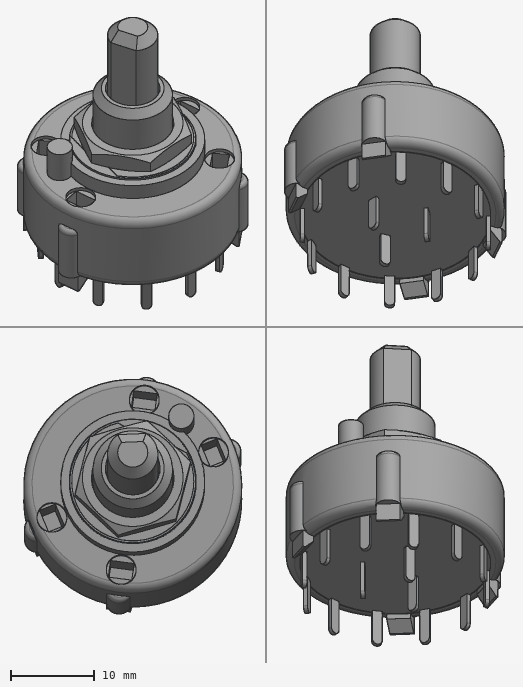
import cadquery as cq

HOUSING_BOTTOM = 4.75
HOUSING_TOP = 15.0
COLLAR_TOP = 17.0
WASHER_TOP = 17.18
LOCK_PLATE_TOP = 17.25
NUT_TOP = 19.55
BUSHING_TOP = 24.98
SHAFT_TOP = 34.5

HOUSING_RADIUS = 13.0
HOUSING_FILLET = 1.0
COLLAR_RADIUS = 8.6
BASE_PLATE_RADIUS = 11.4
BASE_PLATE_THICKNESS = 0.1

WASHER_RADIUS = 15.0 / 2
WASHER_RECESS_RADIUS = 15.15 / 2
WASHER_RECESS_DEPTH = 0.5

LOCK_PLATE_RADIUS = 7.28
LOCK_EDGE_NEAR = 5.35
LOCK_EDGE_FAR = 6.07
LOCK_STEP = 1.38
LOCK_TURN = 9

NUT_CORNER_RADIUS = 7.18
NUT_FACE_RADIUS = 6.0
NUT_CHAMFER_HEIGHT = 0.5
NUT_BORE_RADIUS = 4.9
NUT_TURN = -6.4

BUSHING_RADIUS = 9.5 / 2
BUSHING_CHAMFER = 1.0
BUSHING_BORE_RADIUS = 3.25
SHAFT_RADIUS = 3.0
SHAFT_CHAMFER = 1.2
SHAFT_FLAT_DISTANCE = 2.5
SHAFT_FLAT_DIRECTION = -50

POST_RADIUS = 3.0 / 2
POST_OFFSET = 9.5
POST_TOP = 19.05

CLIP_ANGLE = 60
RECESS_RADIUS = 3.55 / 2
RECESS_CENTRE = 10.42
RECESS_DEPTH = 0.45
SLOT_WIDTH = 2.83
SLOT_LENGTH = 2.05
SLOT_DEPTH = 4.15

RIB_RADIUS = 1.55
RIB_CENTRE = 12.28
RIB_BOTTOM = 5.0
RIB_TOP = 12.15
RIB_FILLET = 0.6

HOOK_BOTTOM = 2.75
HOOK_OUTER = 12.95
HOOK_INNER = 11.4
HOOK_WIDTH = 2.85
HOOK_SKEW = 0.35
HOOK_TIP_THICKNESS = 0.28
HOOK_SLOPE_TOP = 4.05

PIN_WIDTH = 1.2
PIN_THICKNESS = 0.52
OUTER_PIN_COUNT = 12
OUTER_PIN_RADIUS = 11.1
COMMON_PIN_COUNT = 3
COMMON_PIN_RADIUS = 3.85
COMMON_PIN_START = 90


def cylinder(radius, bottom, top):
    return cq.Workplane("XY").workplane(offset=bottom).circle(radius).extrude(top - bottom)


def place(shape, angle):
    """Turn a shape made on the +X side to its angle about the switch axis."""
    return shape.rotate((0, 0, 0), (0, 0, 1), angle)


def at_four_clips(shape):
    """Set a shape made on the +X side at one clip and mirror it to the other three."""
    one = place(shape, CLIP_ANGLE)
    pair = one.union(one.mirror("YZ"))
    return pair.union(pair.mirror("XZ"))


def make_housing():
    housing = cylinder(HOUSING_RADIUS, HOUSING_BOTTOM, HOUSING_TOP).edges().fillet(HOUSING_FILLET)
    base_plate = cylinder(BASE_PLATE_RADIUS, HOUSING_BOTTOM - BASE_PLATE_THICKNESS, HOUSING_BOTTOM)
    collar = cylinder(COLLAR_RADIUS, HOUSING_TOP, COLLAR_TOP)
    return housing.union(base_plate).union(collar)


def make_clip_recess():
    """Round recess with a deeper rectangular slot in its floor."""
    floor = HOUSING_TOP - RECESS_DEPTH
    recess = cylinder(RECESS_RADIUS, floor, HOUSING_TOP)
    slot = (
        cq.Workplane("XY")
        .workplane(offset=floor - SLOT_DEPTH)
        .rect(SLOT_LENGTH, SLOT_WIDTH)
        .extrude(SLOT_DEPTH)
    )
    return recess.union(slot).translate((RECESS_CENTRE, 0, 0))


def make_clip():
    """Round rib on the housing wall with a skewed, wedge-shaped hook below it."""
    rib = cylinder(RIB_RADIUS, RIB_BOTTOM, RIB_TOP).faces(">Z").edges().fillet(RIB_FILLET)
    rib = rib.translate((RIB_CENTRE, 0, 0))
    hook_plan = (
        cq.Workplane("XY")
        .workplane(offset=HOOK_BOTTOM)
        .polyline([
            (HOOK_OUTER, -HOOK_WIDTH / 2),
            (HOOK_OUTER, HOOK_WIDTH / 2),
            (HOOK_INNER, HOOK_WIDTH / 2 - HOOK_SKEW),
            (HOOK_INNER, -HOOK_WIDTH / 2 - HOOK_SKEW),
        ])
        .close()
        .extrude(RIB_BOTTOM - HOOK_BOTTOM)
    )
    hook_profile = (
        cq.Workplane("XZ")
        .polyline([
            (HOOK_OUTER, HOOK_BOTTOM),
            (HOOK_OUTER, RIB_BOTTOM),
            (HOOK_INNER, RIB_BOTTOM),
            (HOOK_INNER, HOOK_SLOPE_TOP),
            (HOOK_OUTER - HOOK_TIP_THICKNESS, HOOK_BOTTOM),
        ])
        .close()
        .extrude(HOOK_WIDTH, both=True)
    )
    return rib.union(hook_plan.intersect(hook_profile))


def make_washer_groove():
    bottom = COLLAR_TOP - WASHER_RECESS_DEPTH
    return cylinder(WASHER_RECESS_RADIUS, bottom, COLLAR_TOP).cut(
        cylinder(WASHER_RADIUS, bottom, COLLAR_TOP)
    )


def make_lock_plate():
    cut_back = (
        cq.Workplane("XY")
        .workplane(offset=WASHER_TOP)
        .polyline([
            (-LOCK_PLATE_RADIUS, -LOCK_PLATE_RADIUS),
            (-LOCK_PLATE_RADIUS, -LOCK_EDGE_FAR),
            (LOCK_STEP, -LOCK_EDGE_FAR),
            (LOCK_STEP, -LOCK_EDGE_NEAR),
            (LOCK_PLATE_RADIUS, -LOCK_EDGE_NEAR),
            (LOCK_PLATE_RADIUS, -LOCK_PLATE_RADIUS),
        ])
        .close()
        .extrude(LOCK_PLATE_TOP - WASHER_TOP)
    )
    return place(cylinder(LOCK_PLATE_RADIUS, WASHER_TOP, LOCK_PLATE_TOP).cut(cut_back), LOCK_TURN)


def make_nut():
    """Hexagon trimmed by a cone at each end."""
    height = NUT_TOP - LOCK_PLATE_TOP
    hexagon = (
        cq.Workplane("XY")
        .workplane(offset=LOCK_PLATE_TOP)
        .polygon(6, 2 * NUT_CORNER_RADIUS)
        .circle(NUT_BORE_RADIUS)
        .extrude(height)
    )
    envelope = (
        cq.Workplane("XZ")
        .polyline([
            (0, LOCK_PLATE_TOP),
            (NUT_FACE_RADIUS, LOCK_PLATE_TOP),
            (NUT_CORNER_RADIUS, LOCK_PLATE_TOP + NUT_CHAMFER_HEIGHT),
            (NUT_CORNER_RADIUS, NUT_TOP - NUT_CHAMFER_HEIGHT),
            (NUT_FACE_RADIUS, NUT_TOP),
            (0, NUT_TOP),
        ])
        .close()
        .revolve(360, (0, 0, 0), (0, 1, 0))
    )
    return place(hexagon.intersect(envelope), NUT_TURN)


def make_bushing():
    bushing = cylinder(BUSHING_RADIUS, COLLAR_TOP, BUSHING_TOP)
    bushing = bushing.faces(">Z").edges().chamfer(BUSHING_CHAMFER)
    return bushing.cut(cylinder(BUSHING_BORE_RADIUS, COLLAR_TOP, BUSHING_TOP))


def make_shaft():
    """Round shaft with one flat along it; the end chamfer follows the flat as well."""
    chamfer_bottom = SHAFT_TOP - SHAFT_CHAMFER
    shaft = cylinder(SHAFT_RADIUS, COLLAR_TOP, SHAFT_TOP).faces(">Z").edges().chamfer(SHAFT_CHAMFER)
    flat_cut = (
        cq.Workplane("XZ")
        .polyline([
            (SHAFT_FLAT_DISTANCE, COLLAR_TOP),
            (SHAFT_FLAT_DISTANCE, chamfer_bottom),
            (SHAFT_FLAT_DISTANCE - SHAFT_CHAMFER, SHAFT_TOP),
            (SHAFT_RADIUS, SHAFT_TOP),
            (SHAFT_RADIUS, COLLAR_TOP),
        ])
        .close()
        .extrude(SHAFT_RADIUS, both=True)
    )
    return place(shaft.cut(flat_cut), SHAFT_FLAT_DIRECTION)


def make_pin(circle_radius):
    """Flat pin with a full-round tip, its wide side facing the switch axis."""
    half_width = PIN_WIDTH / 2
    top = HOUSING_BOTTOM + HOUSING_FILLET
    return (
        cq.Workplane("YZ")
        .workplane(offset=circle_radius - PIN_THICKNESS / 2)
        .moveTo(-half_width, top)
        .lineTo(-half_width, half_width)
        .threePointArc((0, 0), (half_width, half_width))
        .lineTo(half_width, top)
        .close()
        .extrude(PIN_THICKNESS)
    )


result = make_housing().cut(make_washer_groove())
result = result.union(at_four_clips(make_clip())).cut(at_four_clips(make_clip_recess()))

result = result.union(cylinder(WASHER_RADIUS, COLLAR_TOP, WASHER_TOP)).union(make_lock_plate())
result = result.cut(cylinder(BUSHING_BORE_RADIUS, COLLAR_TOP, LOCK_PLATE_TOP))
result = result.union(make_bushing()).union(make_nut()).union(make_shaft())
post = cylinder(POST_RADIUS, HOUSING_TOP, POST_TOP)
result = result.union(post.translate((0, -POST_OFFSET, 0)))

outer_pitch = 360 / OUTER_PIN_COUNT
for i in range(OUTER_PIN_COUNT):
    angle = (i + 0.5) * outer_pitch
    result = result.union(place(make_pin(OUTER_PIN_RADIUS), angle))

common_pitch = 360 / COMMON_PIN_COUNT
for i in range(COMMON_PIN_COUNT):
    angle = COMMON_PIN_START + i * common_pitch
    result = result.union(place(make_pin(COMMON_PIN_RADIUS), angle))